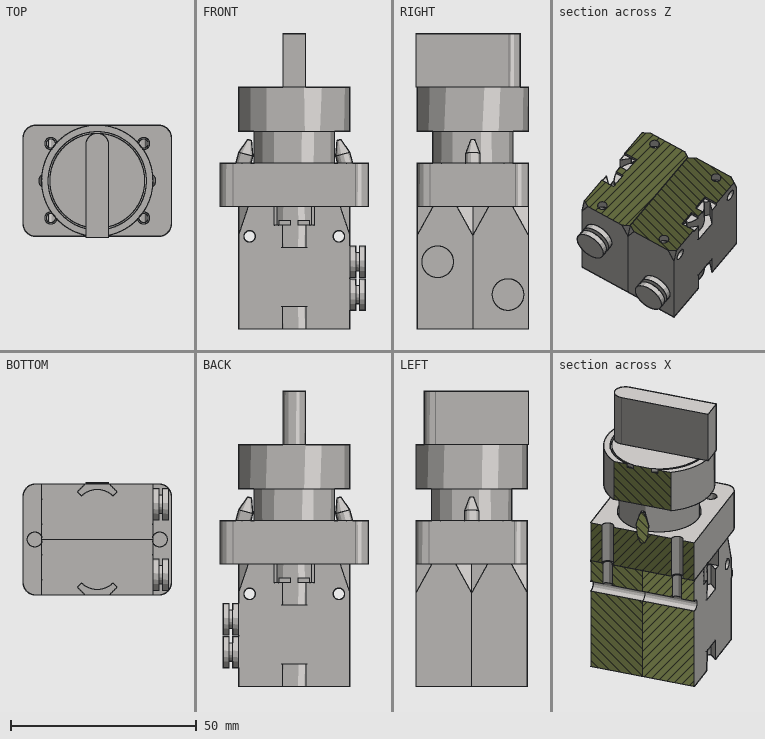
import cadquery as cq
import math


block_height = 33.0
plate_top = 44.7
collar_bottom = 53.2
collar_top = 65.1
overall_height = 79.5

blocks_width = 30.0
block_depth = blocks_width / 2
corner_cut_x = 2.6
corner_cut_y = 4.3
corner_cut_z = 7.8

core_radius = 6.0
opening_half_width = 3.2
lower_opening_height = 6.05
upper_opening_floor = 21.95
recess_half_width = 5.4
recess_floor = 28.0
recess_depth = 3.8
notch_height = 1.2
notch_near_x = 1.0
notch_far_x = 4.1

fixing_x = 12.5
fixing_y = 10.0
plate_hole_diameter = 3.25
screw_hole_diameter = 2.5
screw_hole_depth = 7.0

cross_hole_diameter = 3.0
cross_hole_x = 12.0
cross_hole_z = 25.0

terminal_diameter = 8.5
terminal_groove_diameter = 5.0
terminal_disc_thickness = 1.6
terminal_groove_width = 0.95
terminal_y = 9.5
upper_terminal_z = 18.1
lower_terminal_z = 9.3

plate_length = 40.0
plate_thickness = plate_top - block_height
plate_corner_radius = 3.5
neck_bore_diameter = 22.5

screw_diameter = 4.0
screw_tip_diameter = 1.1
screw_tilt = 15.0
screw_x_at_plate_top = 13.7
screw_shank_above_plate = 2.4
screw_cone_length = 4.0

neck_diameter = 21.7
collar_diameter = blocks_width
groove_outer_diameter = 26.5
groove_inner_diameter = 25.5
groove_depth = 1.0
handle_width = 6.1
overall_depth = 30.3


def corner_cut(side, y_corner, y_inward):
    """Tetrahedron that bevels one upper corner of a block."""
    x_corner = side * blocks_width / 2
    corner = cq.Vector(x_corner, y_corner, block_height)
    along_x = cq.Vector(x_corner - side * corner_cut_x, y_corner, block_height)
    along_y = cq.Vector(x_corner, y_corner + y_inward * corner_cut_y, block_height)
    below = cq.Vector(x_corner, y_corner, block_height - corner_cut_z)
    triangles = [
        (corner, along_x, along_y),
        (corner, along_x, below),
        (corner, along_y, below),
        (along_x, along_y, below),
    ]
    faces = [cq.Face.makeFromWires(cq.Wire.makePolygon(points, close=True)) for points in triangles]
    return cq.Workplane(cq.Solid.makeSolid(cq.Shell.makeShell(faces)))


def box_between(x_low, x_high, y_low, y_high, z_low, z_high):
    """Box between the given limits along each axis."""
    size = (x_high - x_low, y_high - y_low, z_high - z_low)
    return cq.Workplane().box(*size, centered=False).translate((x_low, y_low, z_low))


def flared_opening(z_low, z_high):
    """Opening that widens inwards at 45 degrees and then narrows to the block's axis."""
    axis_y = -block_depth / 2
    flare_x = (opening_half_width + block_depth / 2) / 2
    return (
        cq.Workplane()
        .workplane(offset=z_low)
        .polyline(
            [
                (-opening_half_width, -block_depth),
                (opening_half_width, -block_depth),
                (flare_x, axis_y - flare_x),
                (0, axis_y),
                (-flare_x, axis_y - flare_x),
            ]
        )
        .close()
        .extrude(z_high - z_low)
    )


def make_front_block():
    """Block on the -Y side, without its terminal."""
    x_half = blocks_width / 2
    block = box_between(-x_half, x_half, -block_depth, 0, 0, block_height)
    for side in (-1, 1):
        block = block.cut(corner_cut(side, -block_depth, 1))
        block = block.cut(corner_cut(side, 0, -1))

    recess_back = -block_depth + recess_depth
    core = cq.Workplane().center(0, -block_depth / 2).circle(core_radius).extrude(block_height)
    recess = box_between(
        -recess_half_width, recess_half_width, -block_depth, recess_back, recess_floor, block_height
    )
    lower_opening = flared_opening(0, lower_opening_height)
    upper_opening = flared_opening(upper_opening_floor, recess_floor)
    for opening in (lower_opening, upper_opening, recess):
        block = block.cut(opening.cut(core))

    for side in (-1, 1):
        x_low, x_high = sorted((side * notch_near_x, side * notch_far_x))
        notch_top = recess_floor + notch_height
        block = block.cut(box_between(x_low, x_high, -block_depth, recess_back, recess_floor, notch_top))

        cross_hole = cq.Workplane("XZ").center(side * cross_hole_x, cross_hole_z)
        block = block.cut(cross_hole.circle(cross_hole_diameter / 2).extrude(block_depth))
        screw_hole = (
            cq.Workplane(origin=(side * fixing_x, -fixing_y, block_height))
            .circle(screw_hole_diameter / 2)
            .extrude(-screw_hole_depth)
        )
        block = block.cut(screw_hole)
    return block


def make_terminal(y, z):
    """Two discs with a groove between them, along +X."""
    terminal = cq.Workplane("YZ", origin=(blocks_width / 2, y, z)).circle(terminal_diameter / 2)
    terminal = terminal.extrude(terminal_disc_thickness)
    terminal = terminal.faces(">X").workplane().circle(terminal_groove_diameter / 2)
    terminal = terminal.extrude(terminal_groove_width)
    terminal = terminal.faces(">X").workplane().circle(terminal_diameter / 2)
    return terminal.extrude(terminal_disc_thickness)


def make_contact_blocks():
    """The rear block mirrors the front one; their terminals sit at different heights."""
    front = make_front_block()
    rear = front.mirror("XZ")
    return [
        front.union(make_terminal(-terminal_y, upper_terminal_z)),
        rear.union(make_terminal(terminal_y, lower_terminal_z)),
    ]


def make_screw(side):
    """Pointed screw that leans towards the neck and ends flush with the plate's underside."""
    shank_end = screw_shank_above_plate / math.cos(math.radians(screw_tilt))
    tip = shank_end + screw_cone_length
    shank_start = -2 * plate_thickness
    shank_radius = screw_diameter / 2
    upright_screw = (
        cq.Workplane("XZ")
        .moveTo(0, shank_start)
        .lineTo(shank_radius, shank_start)
        .lineTo(shank_radius, shank_end)
        .lineTo(screw_tip_diameter / 2, tip)
        .lineTo(0, tip)
        .close()
        .revolve(360, (0, 0), (0, 1))
    )
    tilted_screw = upright_screw.rotate((0, 0, 0), (0, 1, 0), -side * screw_tilt)
    screw = tilted_screw.translate((side * screw_x_at_plate_top, 0, plate_top))
    half_depth = blocks_width / 2
    half_length = plate_length / 2
    above_blocks = box_between(
        -half_length, half_length, -half_depth, half_depth, block_height, overall_height
    )
    return screw.intersect(above_blocks)


def make_plate(screws):
    """Rounded plate with the neck bore, four fixing holes and the screws' matching holes."""
    plate = (
        cq.Workplane()
        .workplane(offset=block_height)
        .rect(plate_length, blocks_width)
        .extrude(plate_thickness)
        .edges("|Z")
        .fillet(plate_corner_radius)
    )
    plate = plate.faces(">Z").workplane().hole(neck_bore_diameter)
    plate = (
        plate.faces(">Z")
        .workplane()
        .rect(2 * fixing_x, 2 * fixing_y, forConstruction=True)
        .vertices()
        .hole(plate_hole_diameter)
    )
    for screw in screws:
        plate = plate.cut(screw)
    return plate


def make_operator():
    """Neck, collar with a ring groove in its top, and handle."""
    neck = (
        cq.Workplane()
        .workplane(offset=block_height)
        .circle(neck_diameter / 2)
        .extrude(collar_bottom - block_height)
    )
    collar = (
        cq.Workplane()
        .workplane(offset=collar_bottom)
        .circle(collar_diameter / 2)
        .extrude(collar_top - collar_bottom)
    )
    groove = (
        cq.Workplane()
        .workplane(offset=collar_top - groove_depth)
        .circle(groove_outer_diameter / 2)
        .circle(groove_inner_diameter / 2)
        .extrude(groove_depth)
    )

    handle_front_y = collar_diameter / 2 - overall_depth
    round_radius = handle_width / 2
    handle_back_y = groove_inner_diameter / 2
    round_centre_y = handle_back_y - round_radius
    handle = (
        cq.Workplane()
        .workplane(offset=collar_top)
        .moveTo(-round_radius, handle_front_y)
        .lineTo(round_radius, handle_front_y)
        .lineTo(round_radius, round_centre_y)
        .threePointArc((0, handle_back_y), (-round_radius, round_centre_y))
        .close()
        .extrude(overall_height - collar_top)
    )
    return neck.union(collar).cut(groove).union(handle)


contact_blocks = make_contact_blocks()
screws = [make_screw(side) for side in (-1, 1)]
plate = make_plate(screws)
operator = make_operator()

result = cq.Compound.makeCompound(
    [
        *[block.val() for block in contact_blocks],
        plate.val(),
        *[screw.val() for screw in screws],
        operator.val(),
    ]
)